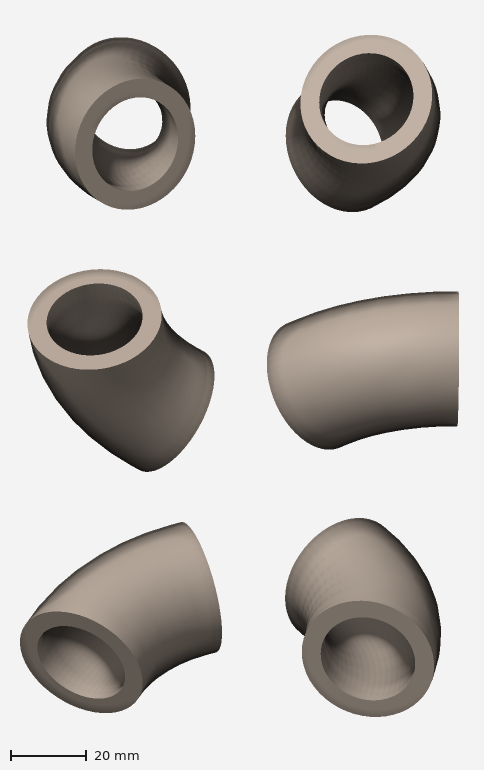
import cadquery as cq

outer_diameter = 35.56
bore_diameter = 25.4
bend_radius = 50.8
bend_angle = 45
collar_length = 2.54


def ring(workplane):
    """Annular cross-section of the pipe, centred on the Y axis."""
    return workplane.circle(outer_diameter / 2).circle(bore_diameter / 2)


def make_collar():
    """Short straight length leaving the bend in +Y."""
    return ring(cq.Workplane("XZ")).extrude(-collar_length)


def make_bend():
    """Pipe bend that starts at the collar heading -Y and turns toward +X."""
    return ring(cq.Workplane("XZ")).revolve(bend_angle, (bend_radius, 0), (bend_radius, 1))


result = make_bend().union(make_collar())